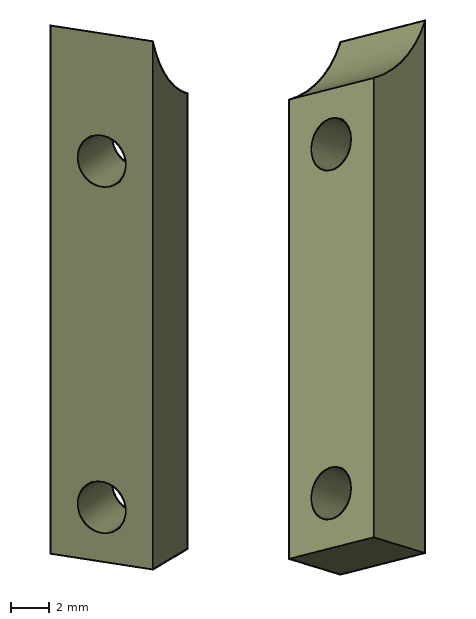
import cadquery as cq
import math

width = 6.0
depth = 4.0
height = 29.0
scoop_height = 4.0
scoop_sag = 0.58
hole_diameter = 2.8
lower_hole_height = 3.0
hole_spacing = 19.0

back_height = height - scoop_height

chord_length = math.hypot(depth, scoop_height)
arc_middle_y = depth / 2 - scoop_sag * scoop_height / chord_length
arc_middle_z = back_height + scoop_height / 2 - scoop_sag * depth / chord_length


def make_body():
    """Bar with its front face on Y = 0 and a concave cylindrical tip."""
    return (
        cq.Workplane("YZ")
        .moveTo(0, 0)
        .lineTo(depth, 0)
        .lineTo(depth, back_height)
        .threePointArc((arc_middle_y, arc_middle_z), (0, height))
        .close()
        .extrude(width / 2, both=True)
    )


def make_holes():
    """Two round holes running through the bar from front to back."""
    hole_centers = [(0, lower_hole_height), (0, lower_hole_height + hole_spacing)]
    return (
        cq.Workplane("XZ")
        .pushPoints(hole_centers)
        .circle(hole_diameter / 2)
        .extrude(-depth)
    )


result = make_body().cut(make_holes())